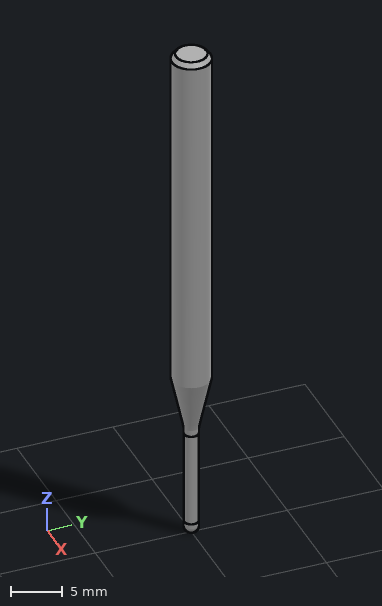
import cadquery as cq

total_length = 55.0
shank_radius = 2.01
end_chamfer_height = 0.55
end_chamfer_width = 0.45
shank_bottom = 17.75
taper_bottom = 12.65
taper_end_radius = 0.9
neck_taper_bottom = 12.05
collar_radius = 0.75
collar_bottom = 11.4
neck_radius = 0.74
cutter_top = 1.3
ball_radius = 0.75


def make_shank():
    """Chamfered shank with its taper, collar and slim neck, turned about Z."""
    return (
        cq.Workplane("XZ")
        .moveTo(0, cutter_top)
        .lineTo(neck_radius, cutter_top)
        .lineTo(neck_radius, collar_bottom)
        .lineTo(collar_radius, collar_bottom)
        .lineTo(collar_radius, neck_taper_bottom)
        .lineTo(taper_end_radius, taper_bottom)
        .lineTo(shank_radius, shank_bottom)
        .lineTo(shank_radius, total_length - end_chamfer_height)
        .lineTo(shank_radius - end_chamfer_width, total_length)
        .lineTo(0, total_length)
        .close()
        .revolve(360, (0, 0, 0), (0, 1, 0))
    )


def make_cutting_tip():
    """Short cylinder ending in a hemispherical ball nose."""
    arc_offset = ball_radius / 2 ** 0.5
    return (
        cq.Workplane("XZ")
        .moveTo(0, 0)
        .threePointArc((arc_offset, ball_radius - arc_offset), (ball_radius, ball_radius))
        .lineTo(ball_radius, cutter_top)
        .lineTo(0, cutter_top)
        .close()
        .revolve(360, (0, 0, 0), (0, 1, 0))
    )


shank = make_shank()
cutting_tip = make_cutting_tip()

result = cq.Compound.makeCompound([shank.val(), cutting_tip.val()])